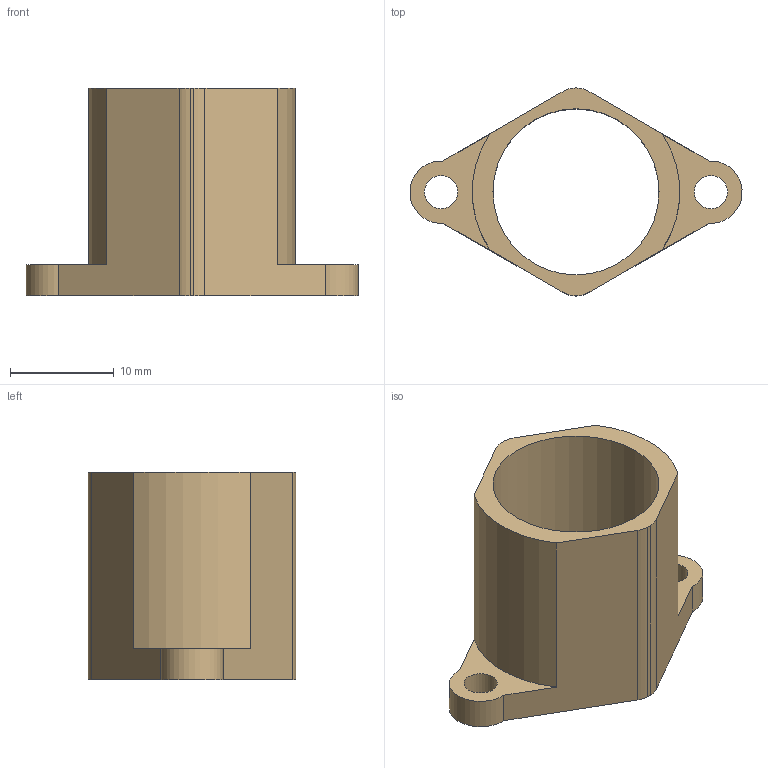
import cadquery as cq
import math

total_height = 20.0
flange_height = 3.0
barrel_radius = 10.0
bore_diameter = 16.0
flat_distance = 9.0
flat_slope = 30.0
corner_radius = 2.5
ear_radius = 3.0
ear_offset = 13.0
ear_hole_diameter = 3.2

slope = math.radians(flat_slope)
corner_y = flat_distance / math.cos(slope)
flat_y_at_ear = corner_y - ear_offset * math.tan(slope)


def disc(diameter, height):
    """Cylinder standing on the base, centered on the main axis."""
    return cq.Workplane("XY").circle(diameter / 2).extrude(height)


def ear_discs(diameter):
    """A flange-high cylinder at each ear center."""
    centers = [(-ear_offset, 0), (ear_offset, 0)]
    return cq.Workplane("XY").pushPoints(centers).circle(diameter / 2).extrude(flange_height)


def make_diamond():
    """Full-height diamond with rounded Y corners, cut off square at the ear centers."""
    outline = [
        (ear_offset, -flat_y_at_ear),
        (ear_offset, flat_y_at_ear),
        (0, corner_y),
        (-ear_offset, flat_y_at_ear),
        (-ear_offset, -flat_y_at_ear),
        (0, -corner_y),
    ]
    prism = cq.Workplane("XY").polyline(outline).close().extrude(total_height)
    return prism.edges("|Z and (>Y or <Y)").fillet(corner_radius)


def make_envelope():
    """Barrel cylinder, which just trims the Y corners, plus a low slab out to the ears."""
    slab = (
        cq.Workplane("XY")
        .rect(2 * ear_offset, bore_diameter)
        .extrude(flange_height)
    )
    return disc(2 * barrel_radius, total_height).union(slab)


def make_body():
    """Flat-sided barrel on a diamond flange that ends in two round ears."""
    return make_diamond().intersect(make_envelope()).union(ear_discs(2 * ear_radius)).clean()


bore = disc(bore_diameter, total_height)
ear_holes = ear_discs(ear_hole_diameter)
result = make_body().cut(bore).cut(ear_holes)